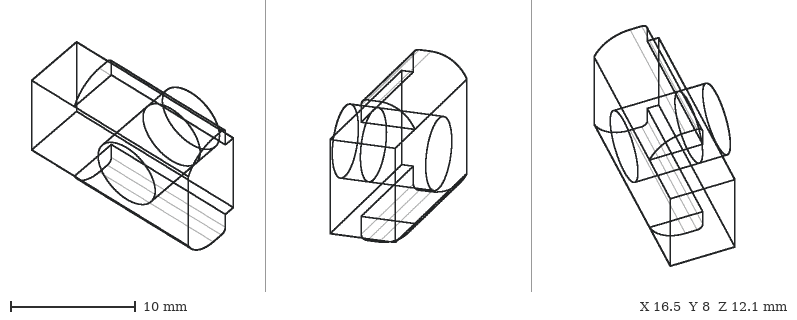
import cadquery as cq

block_length = 16.5
block_depth = 5.6
block_height = 8.1

overall_height = 12.1
wing_start = 4.5
wing_back = 4.6
wing_back_radius = 0.5
wing_flat = 1.0
wing_tip = overall_height / 2
wing_root = block_height / 2
wing_rise = wing_tip - wing_root
crown_start = wing_back - wing_back_radius - wing_flat
crown_radius = (crown_start**2 + wing_rise**2) / (2 * wing_rise)

overall_depth = 8.0
pin_x = 10.0
pin_diameter = 6.0


def cylinder(diameter, start, end):
    """Cylinder on the pin axis between two Y positions."""
    return (
        cq.Workplane("XZ", origin=(pin_x, start, 0))
        .circle(diameter / 2)
        .extrude(start - end)
    )


def make_wing():
    """Upper wing, rounded towards the front and lightly rounded at the back."""
    return (
        cq.Workplane("YZ", origin=(wing_start, 0, 0))
        .moveTo(0, wing_root)
        .radiusArc((crown_start, wing_tip), crown_radius)
        .lineTo(wing_back - wing_back_radius, wing_tip)
        .radiusArc((wing_back, wing_tip - wing_back_radius), wing_back_radius)
        .lineTo(wing_back, wing_root)
        .close()
        .extrude(block_length - wing_start)
    )


def make_housing():
    """Block with both wings and the through hole for the pin."""
    block = cq.Workplane("XY").box(
        block_length, block_depth, block_height, centered=(False, False, True)
    )
    upper_wing = make_wing()
    lower_wing = upper_wing.mirror("XY")
    hole = cylinder(pin_diameter, 0, block_depth)
    return block.union(upper_wing).union(lower_wing).cut(hole)


def make_pin():
    """Plain round pin."""
    return cylinder(pin_diameter, 0, overall_depth)


housing = make_housing()
pin = make_pin()
result = cq.Compound.makeCompound([housing.val(), pin.val()])